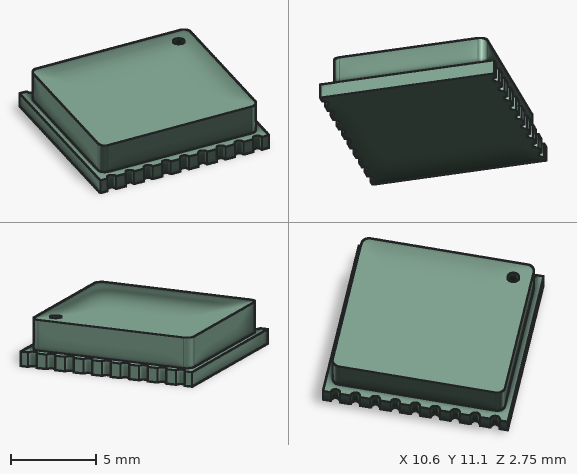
import cadquery as cq

board_x = 10.64
board_y = 11.08
board_height = 0.89

notch_count = 9
notch_pitch = 1.2
notch_radius = 0.28

total_height = 2.75
can_margin_x = 0.63
can_margin_y = 0.38
can_corner_radius = 0.45
can_x = board_x - 2 * can_margin_x
can_y = board_y - 2 * can_margin_y
can_height = total_height - board_height

marker_diameter = 0.66
marker_from_side = 1.71
marker_from_back = 1.47


def make_board():
    board = cq.Workplane("XY").box(board_x, board_y, board_height, centered=(True, True, False))
    notches = (
        cq.Workplane("XY")
        .rarray(board_x, notch_pitch, 2, notch_count)
        .circle(notch_radius)
        .extrude(board_height)
    )
    return board.cut(notches)


def make_can():
    can = (
        cq.Workplane("XY")
        .workplane(offset=board_height)
        .rect(can_x, can_y)
        .extrude(can_height)
        .edges("|Z")
        .fillet(can_corner_radius)
    )
    marker = (
        cq.Workplane("XY")
        .workplane(offset=board_height)
        .center(marker_from_side - board_x / 2, board_y / 2 - marker_from_back)
        .circle(marker_diameter / 2)
        .extrude(can_height)
    )
    return can.cut(marker)


result = make_board().union(make_can())